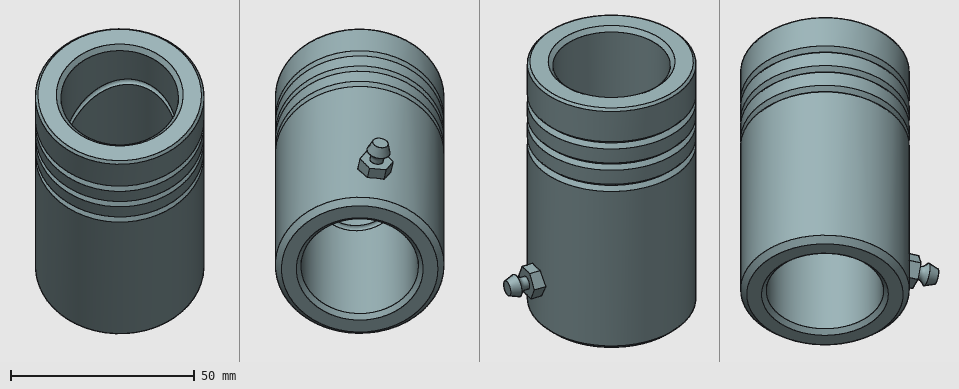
import cadquery as cq
import math

HEIGHT = 80.0
OUTER_DIAMETER = 46.0
OUTER_RADIUS = OUTER_DIAMETER / 2
BORE_RADIUS = 16.0
TOP_CHAMFER = 0.7
BOTTOM_CHAMFER = 1.7
BORE_CHAMFER = 1.3

RING_COUNT = 3
RING_PITCH = 7.0
RING_DEPTH = 1.2
FIRST_RING_FROM_TOP = 11.9
FIRST_RING_Z = HEIGHT - FIRST_RING_FROM_TOP

OIL_GROOVE_Z = 52.8
OIL_GROOVE_RISE = 12.2
OIL_GROOVE_RADIUS = 1.2

NIPPLE_Z = 15.0
NIPPLE_LENGTH = 9.0
NIPPLE_TIP_Y = OUTER_RADIUS + NIPPLE_LENGTH
HEX_ACROSS_FLATS = 8.0
HEX_TURN = 5.0
HEAD_AND_STEM_LENGTH = 5.9
HEX_END_Y = NIPPLE_TIP_Y - HEAD_AND_STEM_LENGTH
TIP_RADIUS = 2.2
HEAD_RADIUS = 3.2
STEM_RADIUS = 1.8
HEAD_TIP_LENGTH = 2.9
HEAD_RIM_Y = NIPPLE_TIP_Y - HEAD_TIP_LENGTH
NECK_FILLET = 1.5


def solid_cylinder(radius):
    return cq.Workplane("XY").circle(radius).extrude(HEIGHT)


def ring_cutter(z):
    """V groove with 45 degree flanks, turned around Z."""
    return (
        cq.Workplane("XZ")
        .moveTo(OUTER_RADIUS, z - RING_DEPTH)
        .lineTo(OUTER_RADIUS - RING_DEPTH, z)
        .lineTo(OUTER_RADIUS, z + RING_DEPTH)
        .close()
        .revolve(360, (0, 0, 0), (0, 1, 0))
    )


def oil_groove_cutter():
    """Round bar swept along the ellipse where a tilted plane meets the bore."""
    tilt = math.atan2(OIL_GROOVE_RISE, BORE_RADIUS)
    loop_plane = cq.Plane(
        origin=(0, 0, OIL_GROOVE_Z),
        xDir=(0, math.cos(tilt), math.sin(tilt)),
        normal=(0, -math.sin(tilt), math.cos(tilt)),
    )
    long_radius = BORE_RADIUS / math.cos(tilt)
    loop = cq.Workplane(loop_plane).ellipse(long_radius, BORE_RADIUS)
    loop_start = loop_plane.toWorldCoords((long_radius, 0, 0))
    section_plane = cq.Plane(origin=loop_start, xDir=loop_plane.xDir, normal=loop_plane.yDir)
    return cq.Workplane(section_plane).circle(OIL_GROOVE_RADIUS).sweep(loop)


def make_sleeve():
    outside = solid_cylinder(OUTER_RADIUS)
    outside = outside.faces(">Z").chamfer(TOP_CHAMFER).faces("<Z").chamfer(BOTTOM_CHAMFER)
    sleeve = outside.cut(solid_cylinder(BORE_RADIUS))
    sleeve = sleeve.edges(cq.selectors.RadiusNthSelector(0)).chamfer(BORE_CHAMFER)
    for index in range(RING_COUNT):
        sleeve = sleeve.cut(ring_cutter(FIRST_RING_Z - index * RING_PITCH))
    return sleeve.cut(oil_groove_cutter())


def make_nipple():
    """Hexagon seated on the sleeve's curved wall, with a stem and a double-cone head."""
    hex_corner_diameter = HEX_ACROSS_FLATS / math.cos(math.radians(30))
    hexagon = (
        cq.Workplane("XZ", origin=(0, HEX_END_Y, NIPPLE_Z))
        .transformed(rotate=(0, 0, -HEX_TURN))
        .polygon(6, hex_corner_diameter)
        .extrude(HEX_END_Y - BORE_RADIUS)
        .cut(solid_cylinder(OUTER_RADIUS))
    )
    bend = math.radians(45)
    cone_end_radius = STEM_RADIUS + NECK_FILLET * (1 - math.cos(bend))
    cone_end_y = HEAD_RIM_Y - (HEAD_RADIUS - cone_end_radius)
    fillet_end_y = cone_end_y - NECK_FILLET * math.sin(bend)
    head = (
        cq.Workplane("XY", origin=(0, 0, NIPPLE_Z))
        .moveTo(0, HEX_END_Y)
        .lineTo(STEM_RADIUS, HEX_END_Y)
        .lineTo(STEM_RADIUS, fillet_end_y)
        .tangentArcPoint((cone_end_radius, cone_end_y), relative=False)
        .lineTo(HEAD_RADIUS, HEAD_RIM_Y)
        .lineTo(TIP_RADIUS, NIPPLE_TIP_Y)
        .lineTo(0, NIPPLE_TIP_Y)
        .close()
        .revolve(360, (0, 0, 0), (0, 1, 0))
    )
    return hexagon.union(head)


sleeve = make_sleeve()
nipple = make_nipple()
result = cq.Compound.makeCompound([sleeve.solids().val(), nipple.solids().val()])